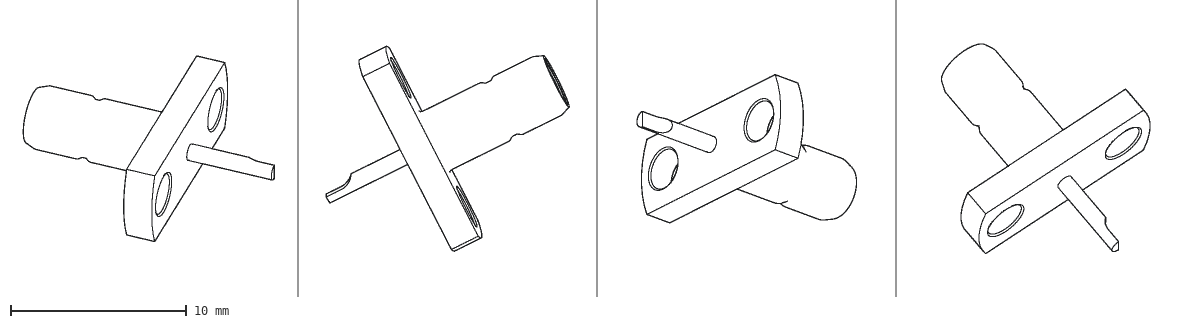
import cadquery as cq

total_length = 14.65
flange_start = 7.8
flange_thickness = 1.71
flange_end = flange_start + flange_thickness

flange_radius = 6.08
flange_height = 4.75
mount_hole_offset = 4.18
mount_hole_radius = 1.19
mount_hole_chamfer = 0.1

barrel_radius = 1.86
nose_radius = 1.64
nose_length = 0.57
nose_blend_radius = 0.18
root_fillet = 0.2

groove_start = 3.09
groove_end = 3.9
groove_depth = 0.16
groove_slope_length = 0.23
groove_blend_radius = 0.15

face_recess_radius = 1.45
face_recess_depth = 0.07
bore_radius = 1.05
bore_chamfer = 0.09
bore_depth = 3.66

contact_radius = 0.28
contact_tip_radius = 0.1
contact_tip_length = 0.18
contact_start = 1.76

tail_radius = 0.48
tail_flat_length = 0.94
scoop_radius = 1.07


def revolve_about_x(profile):
    """Revolve a closed profile drawn as (X, radius) about the X axis."""
    return profile.close().revolve(360, (0, 0, 0), (1, 0, 0))


def x_cylinder(start, end, radius, y=0):
    return cq.Workplane("YZ", origin=(start, y, 0)).circle(radius).extrude(end - start)


def make_flange():
    strip = cq.Workplane("XY").box(
        flange_thickness, 2 * flange_radius, flange_height, centered=(False, True, True)
    ).translate((flange_start, 0, 0))
    flange = x_cylinder(flange_start, flange_end, flange_radius).intersect(strip)
    for side in (-1, 1):
        hole = x_cylinder(flange_start, flange_end, mount_hole_radius, side * mount_hole_offset)
        flange = flange.cut(hole)
    return flange.faces("<X or >X").edges("%CIRCLE").edges(
        cq.selectors.RadiusNthSelector(0)
    ).chamfer(mount_hole_chamfer)


def make_barrel():
    groove_radius = barrel_radius - groove_depth
    barrel = revolve_about_x(
        cq.Workplane("XY")
        .lineTo(0, nose_radius)
        .lineTo(nose_length, barrel_radius)
        .lineTo(groove_start, barrel_radius)
        .lineTo(groove_start + groove_slope_length, groove_radius)
        .lineTo(groove_end - groove_slope_length, groove_radius)
        .lineTo(groove_end, barrel_radius)
        .lineTo(flange_start, barrel_radius)
        .lineTo(flange_start, 0)
    )

    def rim_edges(start, end):
        margin = 0.01
        reach = barrel_radius + margin
        return cq.selectors.BoxSelector(
            (start - margin, -reach, -reach), (end + margin, reach, reach), boundingbox=True
        )

    barrel = barrel.edges(rim_edges(groove_start, groove_end)).edges("%CIRCLE").fillet(groove_blend_radius)
    return barrel.edges(rim_edges(nose_length, nose_length)).edges("%CIRCLE").fillet(nose_blend_radius)


def make_root_fillet():
    """Concave ring blending the barrel into the flange."""
    return revolve_about_x(
        cq.Workplane("XY")
        .moveTo(flange_start - root_fillet, 0)
        .lineTo(flange_start - root_fillet, barrel_radius)
        .radiusArc((flange_start, barrel_radius + root_fillet), -root_fillet)
        .lineTo(flange_start, 0)
    )


def make_socket():
    return revolve_about_x(
        cq.Workplane("XY")
        .lineTo(0, face_recess_radius)
        .lineTo(face_recess_depth, face_recess_radius)
        .lineTo(face_recess_depth, bore_radius + bore_chamfer)
        .lineTo(face_recess_depth + bore_chamfer, bore_radius)
        .lineTo(bore_depth, bore_radius)
        .lineTo(bore_depth, 0)
    )


def make_contact():
    return revolve_about_x(
        cq.Workplane("XY")
        .moveTo(contact_start, 0)
        .lineTo(contact_start, contact_tip_radius)
        .lineTo(contact_start + contact_tip_length, contact_radius)
        .lineTo(flange_start, contact_radius)
        .lineTo(flange_start, 0)
    )


def make_tail():
    """Round tail whose +Y half is scooped away at the tip, down to a flat on the axis."""
    tail = x_cylinder(flange_end, total_length, tail_radius)
    flat_start = total_length - tail_flat_length
    scoop = (
        cq.Workplane("XY", origin=(0, 0, -tail_radius))
        .moveTo(total_length, 0)
        .lineTo(flat_start, 0)
        .radiusArc((flat_start - scoop_radius, scoop_radius), scoop_radius)
        .lineTo(total_length, scoop_radius)
        .close()
        .extrude(2 * tail_radius)
    )
    return tail.cut(scoop)


result = (
    make_barrel()
    .union(make_root_fillet())
    .cut(make_socket())
    .union(make_flange())
    .union(make_contact())
    .union(make_tail())
)